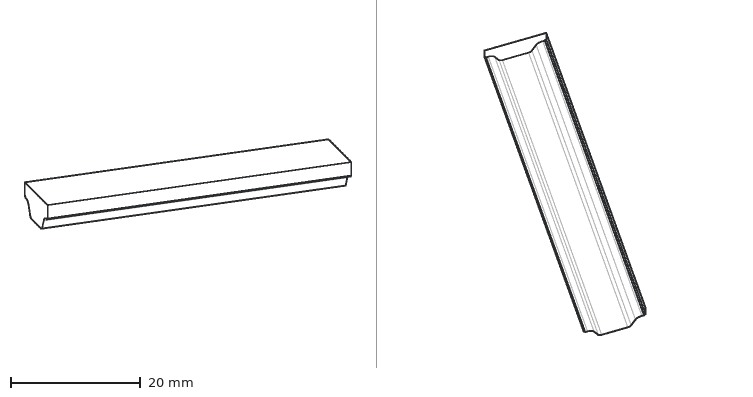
import cadquery as cq
import math

length = 50.0
width = 10.0
height = 5.0

backing_thickness = 2.5
tooth_tip_width = 5.0
flank_angle = 25.0

cove_radius = 0.25
root_radius = 1.15
tip_radius = 0.6

tooth_height = height - backing_thickness
tip_half_width = tooth_tip_width / 2
root_half_width = tip_half_width + tooth_height * math.tan(math.radians(flank_angle))

top_z = height / 2
backing_bottom_z = top_z - backing_thickness
tip_z = -height / 2


def sharp_bar():
    """Extrude the section along Y, centred on the origin."""
    half_outline = [
        (width / 2, top_z),
        (width / 2, backing_bottom_z),
        (root_half_width, backing_bottom_z),
        (tip_half_width, tip_z),
    ]
    mirrored_outline = [(-x, z) for x, z in reversed(half_outline)]
    section = cq.Workplane("XZ").polyline(half_outline + mirrored_outline).close()
    return section.extrude(length / 2, both=True)


def round_edge_pair(bar, x, z, radius):
    """Round the two lengthwise edges at +x and -x, height z."""
    for side in (-1, 1):
        edge = cq.selectors.NearestToPointSelector((side * x, 0, z))
        bar = bar.edges("|Y").edges(edge).fillet(radius)
    return bar


def backing_coves():
    """Rods centred on the lower backing corners, cutting quarter-round coves."""
    corners = [(side * width / 2, backing_bottom_z) for side in (-1, 1)]
    return cq.Workplane("XZ").pushPoints(corners).circle(cove_radius).extrude(length / 2, both=True)


result = sharp_bar()
result = round_edge_pair(result, root_half_width, backing_bottom_z, root_radius)
result = round_edge_pair(result, tip_half_width, tip_z, tip_radius)
result = result.cut(backing_coves())